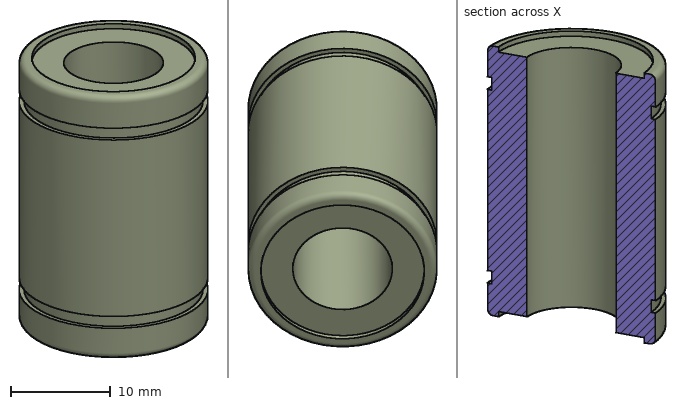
import cadquery as cq

length = 29.0
outer_diameter = 19.0
bore_diameter = 10.0
edge_radius = 0.67

groove_diameter = 18.0
groove_width = 1.3
groove_outer_span = 22.1

recess_diameter = 16.4
recess_depth = 0.55


def disc(diameter, bottom, height):
    """Cylinder on the Z axis, starting at the given height."""
    return cq.Workplane("XY").workplane(offset=bottom).circle(diameter / 2).extrude(height)


def groove(bottom):
    """Ring of material to remove for one groove."""
    return disc(outer_diameter, bottom, groove_width).cut(disc(groove_diameter, bottom, groove_width))


sleeve = disc(outer_diameter, -length / 2, length).edges("%CIRCLE").fillet(edge_radius)

sleeve = sleeve.cut(disc(bore_diameter, -length / 2, length))

for recess_bottom in (-length / 2, length / 2 - recess_depth):
    sleeve = sleeve.cut(disc(recess_diameter, recess_bottom, recess_depth))

for groove_bottom in (-groove_outer_span / 2, groove_outer_span / 2 - groove_width):
    sleeve = sleeve.cut(groove(groove_bottom))

result = sleeve